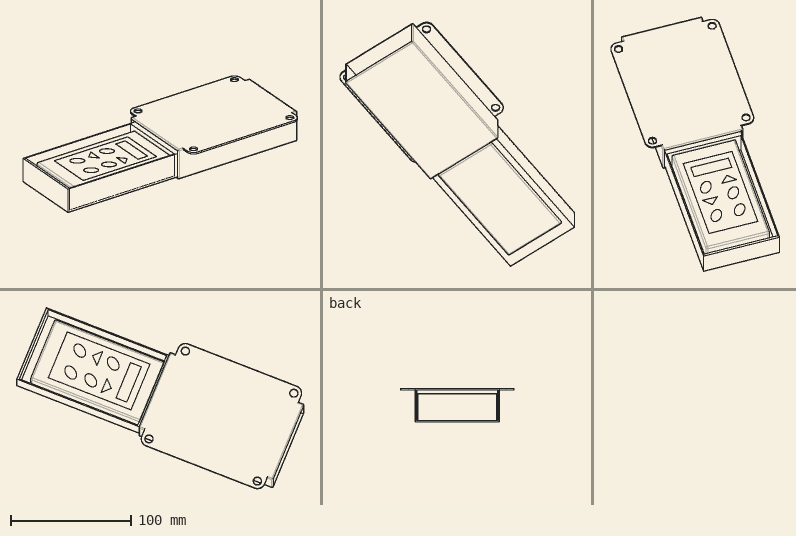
import cadquery as cq


WALL = 1.5
SLEEVE_WIDTH = 70.0
SLEEVE_LENGTH = 120.0
SLEEVE_HEIGHT = 28.0
EDGE_RADIUS = 1.04

FLANGE_WIDTH = 94.0
FLANGE_SETBACK = 5.0
FLANGE_LENGTH = SLEEVE_LENGTH - 2 * FLANGE_SETBACK
FLANGE_CORNER_RADIUS = 6.5
HOLE_DIAMETER = 6.7
HOLE_INSET = 6.5

TOTAL_LENGTH = 230.0
DRAWER_REACH = TOTAL_LENGTH - SLEEVE_LENGTH
DRAWER_INSERTION = 10.0
DRAWER_WIDTH = 66.0
DRAWER_HEIGHT = 22.0
DRAWER_SIDE_WALL = 1.0
DRAWER_END_WALL = 2.0
DRAWER_FLOOR = WALL

KEYPAD_WIDTH = 55.2
KEYPAD_LENGTH = 100.0
KEYPAD_HEIGHT = 19.3
KEYPAD_EDGE_RADIUS = 1.5

RELIEF = 0.12
LABEL_WIDTH = 42.3
LABEL_LENGTH = 74.0
LABEL_BACK = -12.5
DISPLAY_WIDTH = 32.7
DISPLAY_LENGTH = 9.7
DISPLAY_BACK = -18.2
KEY_COLUMN = 10.1
KEY_ROWS = (-41.0, -53.0, -70.8)
OVAL_LONG_RADIUS = 6.2
OVAL_SHORT_RADIUS = 4.1
OVAL_TILT = 55.0
ARROW_HALF_BASE = 6.5
ARROW_HEIGHT = 6.5


def block(width, back, length, bottom, height):
    """Box centred on X that runs forward (-Y) from `back` and up from `bottom`."""
    return cq.Workplane("XY").box(width, length, height, centered=(True, False, False)).translate(
        (0, back - length, bottom)
    )


def make_sleeve():
    tube = block(SLEEVE_WIDTH, SLEEVE_LENGTH, SLEEVE_LENGTH, 0, SLEEVE_HEIGHT).edges().fillet(EDGE_RADIUS)
    bore = block(
        SLEEVE_WIDTH - 2 * WALL, SLEEVE_LENGTH, SLEEVE_LENGTH, WALL, SLEEVE_HEIGHT - 2 * WALL
    )
    return tube.union(make_flange()).cut(bore)


def make_flange():
    plate = block(
        FLANGE_WIDTH, SLEEVE_LENGTH - FLANGE_SETBACK, FLANGE_LENGTH, SLEEVE_HEIGHT - WALL, WALL
    )
    return (
        plate.edges("|Z").fillet(FLANGE_CORNER_RADIUS)
        .faces(">Z").workplane(origin=(0, SLEEVE_LENGTH / 2, 0))
        .rect(FLANGE_WIDTH - 2 * HOLE_INSET, FLANGE_LENGTH - 2 * HOLE_INSET, forConstruction=True)
        .vertices().hole(HOLE_DIAMETER)
    )


def make_drawer():
    body = block(DRAWER_WIDTH, DRAWER_INSERTION, DRAWER_INSERTION + DRAWER_REACH, WALL, DRAWER_HEIGHT)
    pocket = block(
        DRAWER_WIDTH - 2 * DRAWER_SIDE_WALL,
        -DRAWER_END_WALL,
        DRAWER_REACH - 2 * DRAWER_END_WALL,
        WALL + DRAWER_FLOOR,
        DRAWER_HEIGHT,
    )
    return body.cut(pocket)


def make_keypad_case():
    return block(KEYPAD_WIDTH, 0, KEYPAD_LENGTH, 0, KEYPAD_HEIGHT).edges().fillet(KEYPAD_EDGE_RADIUS)


def key_plane(x, y):
    """Workplane on top of the label, centred at (x, y)."""
    return cq.Workplane("XY", origin=(x, y, KEYPAD_HEIGHT + RELIEF))


def oval_key(x, y):
    return (
        key_plane(x, y).transformed(rotate=(0, 0, OVAL_TILT))
        .ellipse(OVAL_LONG_RADIUS, OVAL_SHORT_RADIUS).extrude(RELIEF)
    )


def arrow_key(x, y, direction):
    """Triangular key whose base is centred at (x, y); `direction` is +1 or -1 along Y."""
    return (
        key_plane(x, y)
        .polyline([(-ARROW_HALF_BASE, 0), (ARROW_HALF_BASE, 0), (0, direction * ARROW_HEIGHT)])
        .close().extrude(RELIEF)
    )


def make_keypad():
    label_top = KEYPAD_HEIGHT + RELIEF
    keypad = make_keypad_case()
    keypad = keypad.union(block(LABEL_WIDTH, LABEL_BACK, LABEL_LENGTH, KEYPAD_HEIGHT, RELIEF))
    keypad = keypad.union(block(DISPLAY_WIDTH, DISPLAY_BACK, DISPLAY_LENGTH, label_top, RELIEF))

    back_row, middle_row, front_row = KEY_ROWS
    keypad = keypad.union(arrow_key(KEY_COLUMN, back_row, 1))
    keypad = keypad.union(arrow_key(-KEY_COLUMN, middle_row, -1))
    oval_places = [
        (-KEY_COLUMN, back_row),
        (KEY_COLUMN, middle_row),
        (-KEY_COLUMN, front_row),
        (KEY_COLUMN, front_row),
    ]
    for x, y in oval_places:
        keypad = keypad.union(oval_key(x, y))
    return keypad


housing = make_sleeve().union(make_drawer()).cut(make_keypad_case())

keypad = make_keypad()

result = cq.Compound.makeCompound([housing.solids().val(), keypad.solids().val()])